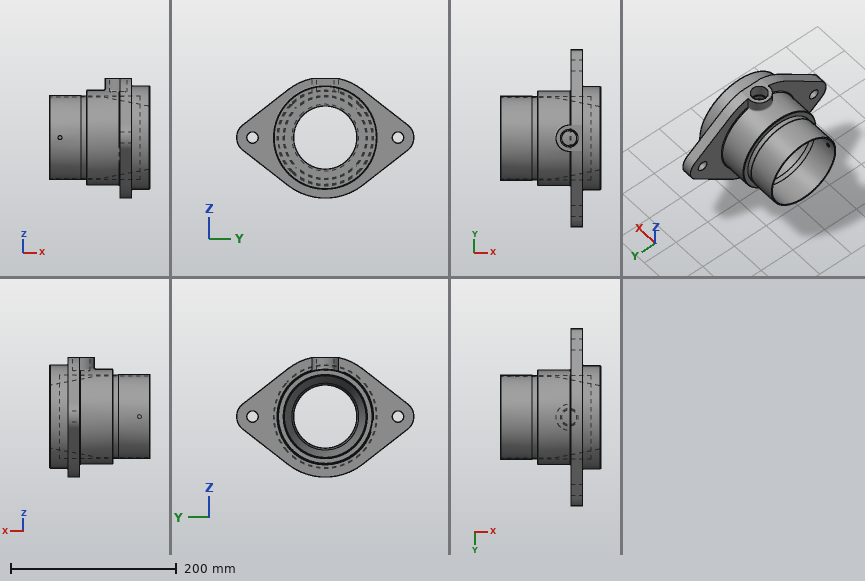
import cadquery as cq
import math


sleeve_diameter = 101.5
sleeve_seat_diameter = 100.5
sleeve_bore_diameter = 98.3
sleeve_step_x = 38.0
throat_diameter = 80.5
taper_start_x = 64.1
sleeve_end_x = 109.0
pin_hole_diameter = 4.7
pin_hole_x = 12.6

barrel_start_x = 44.5
barrel_diameter = 114.3
spigot_diameter = 124.8
spigot_end_x = 121.0
edge_chamfer = 0.9
root_fillet = 1.0
boss_fillet = 1.7

outlet_diameter = 75.9

flange_start_x = 84.6
flange_thickness = 14.3
flange_end_x = flange_start_x + flange_thickness
flange_radius = 73.0
flange_half_length = 106.9
ear_radius = 19.2
ear_offset = flange_half_length - ear_radius
bolt_hole_diameter = 13.5

boss_x = 82.7
boss_width = 31.6
boss_radius = boss_width / 2
boss_top_z = math.sqrt(flange_radius**2 - boss_radius**2)
port_mouth_diameter = 21.4
port_mouth_depth = 16.0
port_diameter = 18.2


def cylinder(diameter, start_x, end_x):
    """Solid cylinder along the X axis."""
    return cq.Workplane("YZ", origin=(start_x, 0, 0)).circle(diameter / 2).extrude(end_x - start_x)


def make_sleeve():
    """Stepped tube whose bore tapers to a throat, with one pin hole in the -Y wall."""
    head = cylinder(sleeve_diameter, 0, sleeve_step_x)
    seat = cylinder(sleeve_seat_diameter, sleeve_step_x, sleeve_end_x)
    bore = (
        cq.Workplane("XY")
        .lineTo(0, sleeve_bore_diameter / 2)
        .lineTo(taper_start_x, sleeve_bore_diameter / 2)
        .lineTo(sleeve_end_x, throat_diameter / 2)
        .lineTo(sleeve_end_x, 0)
        .close()
        .revolve(360, (0, 0, 0), (1, 0, 0))
    )
    pin_hole = (
        cq.Workplane("XZ", origin=(pin_hole_x, 0, 0))
        .circle(pin_hole_diameter / 2)
        .extrude(sleeve_diameter)
    )
    return head.union(seat).cut(bore).cut(pin_hole)


def make_flange():
    """Rhombic plate: a central disc joined to two rounded ears by tangent edges."""
    tangent_sin = (flange_radius - ear_radius) / ear_offset
    tangent_cos = math.sqrt(1 - tangent_sin**2)
    rim_y = flange_radius * tangent_sin
    rim_z = flange_radius * tangent_cos
    ear_y = ear_offset + ear_radius * tangent_sin
    ear_z = ear_radius * tangent_cos
    return (
        cq.Workplane("YZ", origin=(flange_start_x, 0, 0))
        .moveTo(-rim_y, rim_z)
        .threePointArc((0, flange_radius), (rim_y, rim_z))
        .lineTo(ear_y, ear_z)
        .threePointArc((flange_half_length, 0), (ear_y, -ear_z))
        .lineTo(rim_y, -rim_z)
        .threePointArc((0, -flange_radius), (-rim_y, -rim_z))
        .lineTo(-ear_y, -ear_z)
        .threePointArc((-flange_half_length, 0), (-ear_y, ear_z))
        .close()
        .extrude(flange_thickness)
    )


def trim_flange_top(flange):
    """Cut the crown of the flange level with the boss top."""
    crown_height = flange_radius - boss_top_z
    crown = cq.Workplane("XY").box(flange_thickness, boss_width, crown_height, centered=(False, True, False))
    return flange.cut(crown.translate((flange_start_x, 0, boss_top_z)))


def make_boss():
    """Upright boss with a round front and straight sides running into the flange."""
    return (
        cq.Workplane("XY")
        .moveTo(flange_end_x, -boss_radius)
        .lineTo(boss_x, -boss_radius)
        .threePointArc((boss_x - boss_radius, 0), (boss_x, boss_radius))
        .lineTo(flange_end_x, boss_radius)
        .close()
        .extrude(boss_top_z)
    )


def make_root_fillet(diameter, face_x, direction):
    """Concave ring between a cylinder and the flange face it leaves in the given X direction."""
    radius = diameter / 2
    outer_radius = radius + root_fillet
    far_x = face_x + direction * root_fillet
    middle_offset = root_fillet * (1 - math.sqrt(0.5))
    return (
        cq.Workplane("XY")
        .moveTo(face_x, 0)
        .lineTo(face_x, outer_radius)
        .threePointArc((face_x + direction * middle_offset, radius + middle_offset), (far_x, radius))
        .lineTo(far_x, 0)
        .close()
        .revolve(360, (0, 0, 0), (1, 0, 0))
    )


def make_housing_bore():
    """Sleeve seat and the outlet that continues the taper of the sleeve, as one revolved cutter."""
    return (
        cq.Workplane("XY")
        .moveTo(barrel_start_x, 0)
        .lineTo(barrel_start_x, sleeve_seat_diameter / 2)
        .lineTo(sleeve_end_x, sleeve_seat_diameter / 2)
        .lineTo(sleeve_end_x, throat_diameter / 2)
        .lineTo(spigot_end_x, outlet_diameter / 2)
        .lineTo(spigot_end_x, 0)
        .close()
        .revolve(360, (0, 0, 0), (1, 0, 0))
    )


def make_port():
    """Stepped hole from the boss top down to the sleeve."""
    top = cq.Workplane("XY", origin=(boss_x, 0, boss_top_z))
    mouth = top.circle(port_mouth_diameter / 2).extrude(-port_mouth_depth)
    passage = top.circle(port_diameter / 2).extrude(-boss_top_z)
    seat = cylinder(sleeve_seat_diameter, barrel_start_x, sleeve_end_x)
    return mouth.union(passage).cut(seat)


def make_bolt_holes():
    return (
        cq.Workplane("YZ", origin=(flange_start_x, 0, 0))
        .pushPoints([(-ear_offset, 0), (ear_offset, 0)])
        .circle(bolt_hole_diameter / 2)
        .extrude(flange_thickness)
    )


def make_housing():
    """Barrel, flange and spigot in one piece, with the port boss on top."""
    barrel = cylinder(barrel_diameter, barrel_start_x, flange_end_x).faces("<X").chamfer(edge_chamfer)
    boss_root = cq.selectors.BoxSelector(
        (boss_x - 2 * boss_radius, -boss_width, 0),
        (boss_x - boss_radius / 2, boss_width, barrel_diameter / 2),
    )
    barrel_with_boss = barrel.union(make_boss()).edges(boss_root).edges("not #X").fillet(boss_fillet)
    spigot = cylinder(spigot_diameter, flange_end_x, spigot_end_x).faces(">X").chamfer(edge_chamfer)
    return (
        barrel_with_boss.union(trim_flange_top(make_flange()))
        .union(spigot)
        .union(make_root_fillet(barrel_diameter, flange_start_x, -1))
        .union(make_root_fillet(spigot_diameter, flange_end_x, 1))
        .cut(make_housing_bore())
        .cut(make_port())
        .cut(make_bolt_holes())
    )


sleeve = make_sleeve()
housing = make_housing()

result = cq.Compound.makeCompound([sleeve.val(), housing.val()])